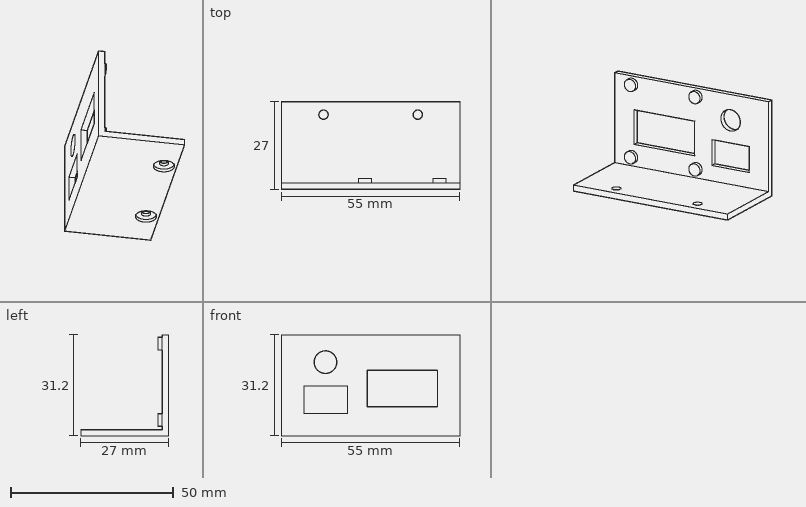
import cadquery as cq

WIDTH = 55.0
DEPTH = 27.0
HEIGHT = 31.2
THICKNESS = 2.0

ROUND_HOLE_DIAMETER = 6.9
ROUND_HOLE_X = 13.6
ROUND_HOLE_Z = 22.8

SMALL_WINDOW_LEFT = 7.0
SMALL_WINDOW_BOTTOM = 7.0
SMALL_WINDOW_WIDTH = 13.3
SMALL_WINDOW_HEIGHT = 8.4

LARGE_WINDOW_LEFT = 26.5
LARGE_WINDOW_BOTTOM = 9.1
LARGE_WINDOW_WIDTH = 21.5
LARGE_WINDOW_HEIGHT = 11.2

MOUNT_HOLE_DIAMETER = 2.8
MOUNT_HOLE_SPACING = 29.0
MOUNT_HOLE_LEFT = (WIDTH - MOUNT_HOLE_SPACING) / 2
MOUNT_HOLE_REAR_MARGIN = 4.0
COUNTERBORE_DIAMETER = 6.5
COUNTERBORE_DEPTH = 1.0

STANDOFF_DIAMETER = 4.0
STANDOFF_LENGTH = 1.3
STANDOFF_SPACING_X = 23.0
STANDOFF_SPACING_Z = 23.5
STANDOFF_CENTER_X = LARGE_WINDOW_LEFT + LARGE_WINDOW_WIDTH / 2
STANDOFF_CENTER_Z = 16.75


def make_bracket():
    """L-shaped bracket: a flat base behind an upright front panel."""
    base = cq.Workplane("XY").box(WIDTH, DEPTH, THICKNESS, centered=False)
    panel = cq.Workplane("XY").box(WIDTH, THICKNESS, HEIGHT, centered=False)
    return base.union(panel)


def panel_cylinder(diameter, x, z, y_start, length):
    """Cylinder along +Y, starting at y_start."""
    plane = cq.Plane(origin=(x, y_start, z), xDir=(1, 0, 0), normal=(0, 1, 0))
    return cq.Workplane(plane).circle(diameter / 2).extrude(length)


def window_cutter(left, bottom, width, height):
    """Block that cuts a rectangular window through the panel."""
    window = cq.Workplane("XY").box(width, THICKNESS, height, centered=False)
    return window.translate((left, 0, bottom))


def mount_hole_cutters():
    """Pair of vertical holes through the rear of the base, counterbored from below."""
    hole_y = DEPTH - MOUNT_HOLE_REAR_MARGIN
    hole_xs = (MOUNT_HOLE_LEFT, MOUNT_HOLE_LEFT + MOUNT_HOLE_SPACING)
    centers = cq.Workplane("XY").pushPoints([(x, hole_y) for x in hole_xs])
    holes = centers.circle(MOUNT_HOLE_DIAMETER / 2).extrude(THICKNESS)
    counterbores = centers.circle(COUNTERBORE_DIAMETER / 2).extrude(COUNTERBORE_DEPTH)
    return holes.union(counterbores)


def add_standoffs(body):
    """Four round standoffs in a rectangular pattern behind the panel."""
    for side_x in (-1, 1):
        for side_z in (-1, 1):
            x = STANDOFF_CENTER_X + side_x * STANDOFF_SPACING_X / 2
            z = STANDOFF_CENTER_Z + side_z * STANDOFF_SPACING_Z / 2
            body = body.union(panel_cylinder(STANDOFF_DIAMETER, x, z, THICKNESS, STANDOFF_LENGTH))
    return body


result = add_standoffs(make_bracket())
result = result.cut(panel_cylinder(ROUND_HOLE_DIAMETER, ROUND_HOLE_X, ROUND_HOLE_Z, 0, THICKNESS))
result = result.cut(
    window_cutter(SMALL_WINDOW_LEFT, SMALL_WINDOW_BOTTOM, SMALL_WINDOW_WIDTH, SMALL_WINDOW_HEIGHT)
)
result = result.cut(
    window_cutter(LARGE_WINDOW_LEFT, LARGE_WINDOW_BOTTOM, LARGE_WINDOW_WIDTH, LARGE_WINDOW_HEIGHT)
)
result = result.cut(mount_hole_cutters())